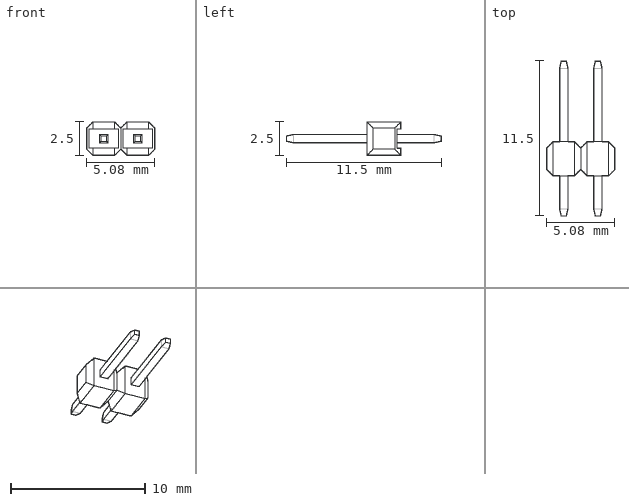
import cadquery as cq

pin_count = 2
pitch = 2.54
housing_depth = 2.54
housing_height = 2.5
side_bevel = 0.46

recess_depth = 0.29
recess_height = 1.43

total_length = 11.54
pin_width = 0.63
front_length = 3.0
tip_length = 0.53
tip_width = 0.39

housing_front = -housing_depth / 2
pin_front = housing_front - front_length
pin_back = pin_front + total_length


def housing_cell():
    """Block with all edges of its two X faces bevelled and a front recess."""
    block = cq.Workplane("XY").box(pitch, housing_depth, housing_height)
    block = block.faces("<X or >X").chamfer(side_bevel)
    recess = cq.Workplane("XY").box(pitch, recess_depth, recess_height)
    return block.cut(recess.translate((0, housing_front + recess_depth / 2, 0)))


def tapered_tip(base_y, end_y):
    """Square frustum narrowing from the pin shaft to its blunt end."""
    base = cq.Workplane("XZ", origin=(0, base_y, 0)).rect(pin_width, pin_width)
    return base.workplane(offset=base_y - end_y).rect(tip_width, tip_width).loft(ruled=True)


def pin():
    """Square shaft with a tapered tip at each end."""
    shaft_front = pin_front + tip_length
    shaft_back = pin_back - tip_length
    shaft = cq.Workplane("XY").box(pin_width, shaft_back - shaft_front, pin_width)
    shaft = shaft.translate((0, (shaft_front + shaft_back) / 2, 0))
    front_tip = tapered_tip(shaft_front, pin_front)
    back_tip = tapered_tip(shaft_back, pin_back)
    return shaft.union(front_tip).union(back_tip)


contact = housing_cell().union(pin())
first_x = -(pin_count - 1) / 2 * pitch
result = contact.translate((first_x, 0, 0))
for index in range(1, pin_count):
    result = result.union(contact.translate((first_x + index * pitch, 0, 0)))